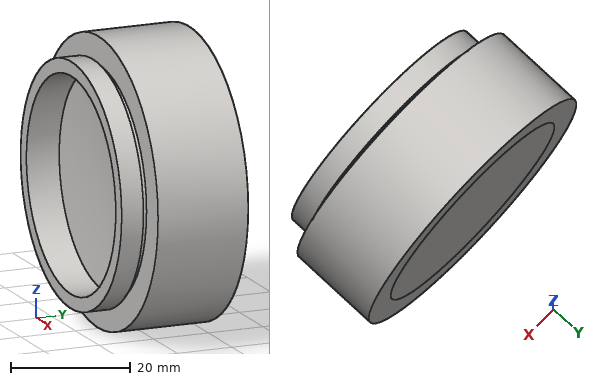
import cadquery as cq

barrel_diameter = 50.8
barrel_length = 16.5
groove_diameter = 41.0
groove_width = 1.0
flange_diameter = 43.05
flange_width = 3.95
bore_diameter = 38.0
lens_diameter = 40.05
lens_recess = 6.0
lens_sag = 1.05

lens_radius = lens_diameter / 2
total_length = barrel_length + groove_width + flange_width
back_y = total_length / 2
front_y = -back_y
groove_front_y = front_y + flange_width
barrel_front_y = groove_front_y + groove_width
lens_rim_y = front_y + lens_recess
lens_center_y = lens_rim_y + lens_sag


def cylinder_along_y(diameter, start_y, end_y):
    """Solid cylinder on the Y axis between two Y positions."""
    return (
        cq.Workplane("XZ", origin=(0, start_y, 0))
        .circle(diameter / 2)
        .extrude(start_y - end_y)
    )


def make_housing():
    """Barrel with a grooved front flange and a bore that widens into the lens seat."""
    barrel = cylinder_along_y(barrel_diameter, barrel_front_y, back_y)
    groove_neck = cylinder_along_y(groove_diameter, groove_front_y, barrel_front_y)
    flange = cylinder_along_y(flange_diameter, front_y, groove_front_y)
    bore = cylinder_along_y(bore_diameter, front_y, lens_rim_y)
    lens_seat = cylinder_along_y(lens_diameter, lens_rim_y, back_y)
    return barrel.union(groove_neck).union(flange).cut(bore).cut(lens_seat)


def make_lens():
    """Lens filling the seat behind the bore, with a spherical concave front and a flat back."""
    sphere_radius = (lens_radius**2 + lens_sag**2) / (2 * lens_sag)
    sphere_center_y = lens_center_y - sphere_radius
    mid_radius = lens_radius / 2
    mid_y = sphere_center_y + (sphere_radius**2 - mid_radius**2) ** 0.5
    return (
        cq.Workplane("XY")
        .moveTo(0, lens_center_y)
        .threePointArc((mid_radius, mid_y), (lens_radius, lens_rim_y))
        .lineTo(lens_radius, back_y)
        .lineTo(0, back_y)
        .close()
        .revolve(360, (0, 0, 0), (0, 1, 0))
    )


housing = make_housing()
lens = make_lens()

result = cq.Compound.makeCompound([housing.val(), lens.val()])